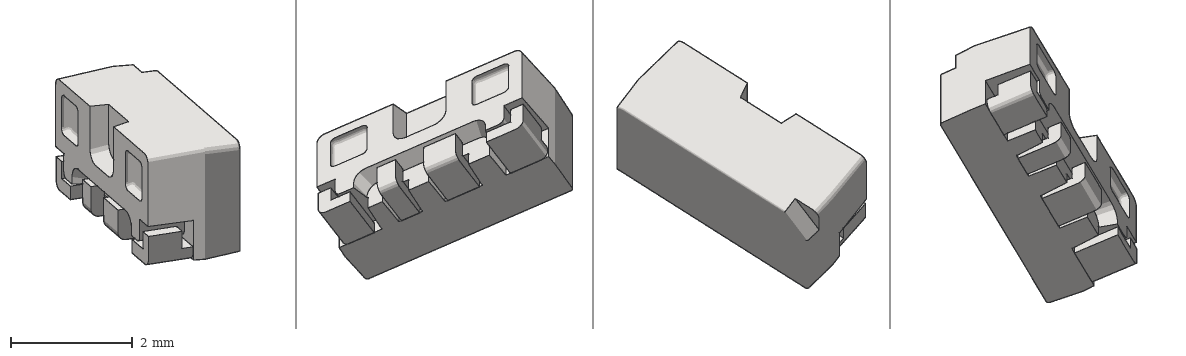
import cadquery as cq
import math

LENGTH = 4.0
HEIGHT = 2.0
DEPTH = 1.65
PARTING_Y = 1.0
BODY_DRAFT = 3.0
TOP_CORNER_RADIUS = 0.15
BACK_EDGE_RADIUS = 0.05

MARK_LEG = 0.53
MARK_DEPTH = 0.3

RECESS_DEPTH = 0.3
RECESS_DRAFT = 15.0
RECESS_RADIUS = 0.25
TOP_RECESS_WIDTH = 1.0
TOP_RECESS_BOTTOM = 0.99
BOTTOM_RECESS_WIDTH = 2.5
BOTTOM_RECESS_TOP = 0.65

DIMPLE_SIZE = 0.7
DIMPLE_DEPTH = 0.15
DIMPLE_RADIUS = 0.1
DIMPLE_OFFSET_X = 1.345
DIMPLE_CENTER_Z = 1.39

NOTCH_DEPTH = 0.795
NOTCH_DRAFT = 3.0
NOTCH_HEIGHT = 0.3
CORNER_NOTCH_HEIGHT = 0.71
CORNER_NOTCH_WIDTH = 0.4
CORNER_NOTCH_INNER_X = 1.15
CORNER_NOTCH_RADIUS = 0.11
PIN_CLEARANCE = 0.075

OVERSHOOT = 0.2

STRIP_SIZE = 0.24
TERMINAL_HEIGHT = 0.545
BEND_RADIUS = 0.15
CORNER_LEG_DEPTH = 0.6
LEFT_CORNER_RANGE_X = (-1.925, -1.32)
RIGHT_CORNER_RANGE_X = (1.27, 1.97)
PIN_RANGES_X = ((-0.805, -0.455), (0.075, 0.68))


def block(x_range, y_range, z_range):
    """Box that fills the given ranges."""
    sizes = [high - low for low, high in (x_range, y_range, z_range)]
    corner = (x_range[0], y_range[0], z_range[0])
    return cq.Workplane("XY").box(*sizes, centered=False).translate(corner)


def body_half(plane, depth):
    """Half of the body: "XZ" grows to the front and "ZX" to the back of the parting plane."""
    sides = (LENGTH, HEIGHT) if plane == "XZ" else (HEIGHT, LENGTH)
    return (
        cq.Workplane(plane, origin=(0, PARTING_Y, HEIGHT / 2))
        .rect(*sides)
        .extrude(depth, taper=BODY_DRAFT)
        .faces(">Z")
        .edges("not(|X)")
        .fillet(TOP_CORNER_RADIUS)
    )


def corner_mark():
    """Cutting tool that slopes across the top left corner at the back."""
    return (
        cq.Workplane("XZ", origin=(-LENGTH / 2, DEPTH, HEIGHT))
        .moveTo(MARK_LEG, 0)
        .lineTo(0, -MARK_LEG)
        .lineTo(-OVERSHOOT, -MARK_LEG)
        .lineTo(-OVERSHOOT, OVERSHOOT)
        .lineTo(MARK_LEG, OVERSHOOT)
        .close()
        .extrude(MARK_DEPTH)
    )


def body():
    """Both halves joined, with the back edges rounded except along the bottom."""
    front = body_half("XZ", PARTING_Y)
    back = body_half("ZX", DEPTH - PARTING_Y)
    marked = back.cut(corner_mark())
    rounded = marked.faces(">Y").edges("not(<Z)").fillet(BACK_EDGE_RADIUS)
    return front.union(rounded)


def recess(width, z_range, rounded_face):
    """Drafted cutting tool going back from the front face, rounded along one face."""
    bottom, top = z_range
    return (
        cq.Workplane("ZX", origin=(0, 0, (bottom + top) / 2))
        .rect(top - bottom, width)
        .extrude(RECESS_DEPTH, taper=RECESS_DRAFT)
        .faces(rounded_face)
        .edges("not(|X)")
        .fillet(RECESS_RADIUS)
    )


def dimple(center_x):
    """Square cutting tool with rounded corners and a rounded rim around its floor."""
    return (
        cq.Workplane("ZX", origin=(center_x, 0, DIMPLE_CENTER_Z))
        .rect(DIMPLE_SIZE, DIMPLE_SIZE)
        .extrude(DIMPLE_DEPTH)
        .edges("|Y or >Y")
        .fillet(DIMPLE_RADIUS)
    )


def foot_notch(x_range):
    """Low notch, open at the bottom, whose ends close in toward its back wall."""
    x_min, x_max = x_range
    inset = (NOTCH_DEPTH - RECESS_DEPTH) * math.tan(math.radians(NOTCH_DRAFT))
    return (
        cq.Workplane("XY")
        .moveTo(x_min, 0)
        .lineTo(x_min, RECESS_DEPTH)
        .lineTo(x_min + inset, NOTCH_DEPTH)
        .lineTo(x_max - inset, NOTCH_DEPTH)
        .lineTo(x_max, RECESS_DEPTH)
        .lineTo(x_max, 0)
        .close()
        .extrude(NOTCH_HEIGHT)
    )


def corner_notch():
    """L-shaped notch at the left end of the body."""
    outer_x = -LENGTH / 2 - OVERSHOOT
    leg_x = CORNER_NOTCH_WIDTH - LENGTH / 2
    foot = foot_notch((outer_x, -CORNER_NOTCH_INNER_X))
    leg = block((outer_x, leg_x), (0, NOTCH_DEPTH), (0, CORNER_NOTCH_HEIGHT))
    inner_corner = cq.selectors.NearestToPointSelector((leg_x, NOTCH_DEPTH / 2, NOTCH_HEIGHT))
    return foot.union(leg).edges("|Y").edges(inner_corner).fillet(CORNER_NOTCH_RADIUS)


def corner_terminal(x_range, outer_face):
    """Terminal with its leg rising at the outer end of its foot."""
    x_min, x_max = x_range
    leg_x = (x_min, x_min + STRIP_SIZE) if outer_face == "<X" else (x_max - STRIP_SIZE, x_max)
    foot = block(x_range, (0, NOTCH_DEPTH), (0, STRIP_SIZE))
    leg = block(leg_x, (0, CORNER_LEG_DEPTH), (0, TERMINAL_HEIGHT))
    return foot.union(leg).faces(outer_face).edges("<Z").fillet(BEND_RADIUS)


def pin_terminal(x_range):
    """Terminal with its leg rising at the front end of its foot."""
    foot = block(x_range, (0, NOTCH_DEPTH), (0, STRIP_SIZE))
    leg = block(x_range, (0, STRIP_SIZE), (0, TERMINAL_HEIGHT))
    return foot.union(leg).faces("<Y").edges("<Z").fillet(BEND_RADIUS)


result = body().cut(recess(TOP_RECESS_WIDTH, (TOP_RECESS_BOTTOM, HEIGHT + OVERSHOOT), "<Z"))
result = result.cut(recess(BOTTOM_RECESS_WIDTH, (-OVERSHOOT, BOTTOM_RECESS_TOP), ">Z"))
for center_x in (-DIMPLE_OFFSET_X, DIMPLE_OFFSET_X):
    result = result.cut(dimple(center_x))

left_notch = corner_notch()
result = result.cut(left_notch).cut(left_notch.mirror("YZ"))
for pin_min, pin_max in PIN_RANGES_X:
    result = result.cut(foot_notch((pin_min - PIN_CLEARANCE, pin_max + PIN_CLEARANCE)))

result = result.union(corner_terminal(LEFT_CORNER_RANGE_X, "<X"))
result = result.union(corner_terminal(RIGHT_CORNER_RANGE_X, ">X"))
for pin_range in PIN_RANGES_X:
    result = result.union(pin_terminal(pin_range))